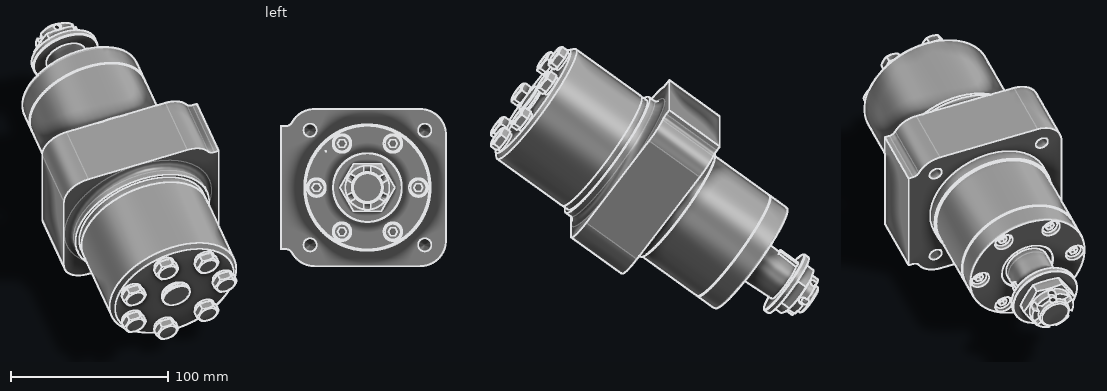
import cadquery as cq
import math


THREAD_DIA = 20.0
TIP_CHAMFER = 1.0
TAPER_SMALL_DIA = 26.5
JOURNAL_DIA = 28.5
JOURNAL_START_X = 44.5
COTTER_DIA = 4.5
COTTER_X = 3.6

CROWN_START_X = 3.8
CROWN_DIA = 28.0
HEX_START_X = 8.8
NUT_WIDTH = 30.3
NUT_CHAMFER_ANGLE = 15
SLOT_COUNT = 6
SLOT_WIDTH = 4.5
SLOT_END_X = 8.4

WASHER_START_X = 16.7
WASHER_THICKNESS = 3.8
WASHER_DIA = 44.0
WASHER_FRONT_CHAMFER = 0.2
WASHER_REAR_CHAMFER = 0.5
WASHER_END_X = WASHER_START_X + WASHER_THICKNESS

KEY_LENGTH = 14.0
KEY_SECTION = 5.0
KEY_TOP_Y = 15.2

FRONT_X = 46.5
FRONT_DIA = 79.0
FRONT_CHAMFER_LENGTH = 1.1
FRONT_CHAMFER_DEPTH = 0.2
GROOVE_X = 60.2
GROOVE_SIZE = 0.5
PILOT_X = 104.8
PILOT_DIA = 80.5
SEAL_RECESS_DIA = 35.0
SEAL_RECESS_DEPTH = 1.1

FLANGE_X = 112.0
FLANGE_END_X = 152.0
FLANGE_WIDTH = 100.0
FLANGE_CORNER_RADIUS = 16.5
PORT_FACE_Y = 55.0
PORT_FACE_WIDTH = 78.3
PORT_FACE_FILLET = 4.5
FLANGE_HOLE_DIA = 8.4
FLANGE_HOLE_SPACING = 72.9
FLANGE_HOLE_DEPTH = 27.2
DRILL_POINT_ANGLE = 118

SHAFT_END_X = FLANGE_X

COLLAR_DIA = 90.7
COLLAR_FILLET = 4.5
COLLAR_END_X = 160.5
REAR_DIA = 86.0
NECK_DIA = 85.8
NECK_END_X = 164.7
REAR_CHAMFER = 2.7
REAR_END_X = 219.0

CAP_SCREW_COUNT = 6
SCREW_CIRCLE_RADIUS = 32.4
COUNTERBORE_DIA = 12.0
COUNTERBORE_DEPTH = 7.0
CAP_HEAD_DIA = 10.0
CAP_HEAD_HEIGHT = 5.0
SOCKET_WIDTH = 5.0
SOCKET_DEPTH = 3.0

REAR_BOLT_COUNT = 7
BOLT_END_X = 226.3
BOLT_FACE_X = 220.8
BOLT_WIDTH = 13.1
BOLT_FACE_DIA = 13.0
BOLT_TOP_DIA = 12.0
BOLT_CHAMFER_ANGLE = 30
PLUG_NECK_DIA = 17.0
PLUG_COLLAR_X = 220.5
PLUG_COLLAR_DIA = 18.5
PLUG_TOP_X = 222.2
PLUG_TOP_DIA = 18.0
PLUG_END_X = 223.0


def cylinder(start_x, end_x, diameter):
    """Cylinder on the X axis."""
    return cq.Workplane("YZ", origin=(start_x, 0, 0)).circle(diameter / 2).extrude(end_x - start_x)


def hexagon(start_x, end_x, width):
    """Hexagonal prism on the X axis with two corners on the Y axis."""
    corner_dia = width / math.cos(math.pi / 6)
    return cq.Workplane("YZ", origin=(start_x, 0, 0)).polygon(6, corner_dia).extrude(end_x - start_x)


def revolved(profile):
    """Solid of revolution about the X axis from an open profile in the XY plane."""
    return profile.close().revolve(360, (0, 0, 0), (1, 0, 0))


def cone_length(radius_step, angle):
    """Axial length of a cone that rises by radius_step at an angle to the end face."""
    return radius_step * math.tan(math.radians(angle))


def on_circle(body, count, radius):
    """Copies of a body evenly spaced about the X axis, the first towards +Y."""
    copies = []
    for i in range(count):
        angle = 2 * math.pi * i / count
        copies.append(body.translate((0, radius * math.cos(angle), radius * math.sin(angle))))
    return copies


def make_key():
    bar = cq.Workplane("XY").box(KEY_LENGTH, KEY_SECTION, KEY_SECTION, centered=(False, False, True))
    return bar.translate((WASHER_END_X, KEY_TOP_Y - KEY_SECTION, 0))


def make_shaft():
    profile = (
        cq.Workplane("XY")
        .moveTo(0, 0)
        .lineTo(0, THREAD_DIA / 2 - TIP_CHAMFER)
        .lineTo(TIP_CHAMFER, THREAD_DIA / 2)
        .lineTo(WASHER_END_X, THREAD_DIA / 2)
        .lineTo(WASHER_END_X, TAPER_SMALL_DIA / 2)
        .lineTo(JOURNAL_START_X, JOURNAL_DIA / 2)
        .lineTo(SHAFT_END_X, JOURNAL_DIA / 2)
        .lineTo(SHAFT_END_X, 0)
    )
    cotter_hole = (
        cq.Workplane("XY").center(COTTER_X, 0).circle(COTTER_DIA / 2).extrude(THREAD_DIA, both=True)
    )
    return revolved(profile).cut(cotter_hole).cut(make_key())


def make_washer():
    disc = cylinder(WASHER_START_X, WASHER_END_X, WASHER_DIA)
    disc = disc.faces("<X").chamfer(WASHER_FRONT_CHAMFER)
    disc = disc.faces(">X").chamfer(WASHER_REAR_CHAMFER)
    return disc.cut(cylinder(WASHER_START_X, WASHER_END_X, THREAD_DIA))


def make_nut():
    corner_radius = NUT_WIDTH / 2 / math.cos(math.pi / 6)
    chamfer_length = cone_length(corner_radius - CROWN_DIA / 2, NUT_CHAMFER_ANGLE)
    chamfer_envelope = revolved(
        cq.Workplane("XY")
        .moveTo(HEX_START_X, 0)
        .lineTo(HEX_START_X, CROWN_DIA / 2)
        .lineTo(HEX_START_X + chamfer_length, corner_radius)
        .lineTo(WASHER_START_X - chamfer_length, corner_radius)
        .lineTo(WASHER_START_X, CROWN_DIA / 2)
        .lineTo(WASHER_START_X, 0)
    )
    nut = hexagon(HEX_START_X, WASHER_START_X, NUT_WIDTH).intersect(chamfer_envelope)
    nut = nut.union(cylinder(CROWN_START_X, HEX_START_X, CROWN_DIA))
    nut = nut.cut(cylinder(CROWN_START_X, WASHER_START_X, THREAD_DIA))

    slot_floor_x = SLOT_END_X - SLOT_WIDTH / 2
    slot = (
        cq.Workplane("XY")
        .moveTo(CROWN_START_X, -SLOT_WIDTH / 2)
        .lineTo(slot_floor_x, -SLOT_WIDTH / 2)
        .threePointArc((SLOT_END_X, 0), (slot_floor_x, SLOT_WIDTH / 2))
        .lineTo(CROWN_START_X, SLOT_WIDTH / 2)
        .close()
        .extrude(CROWN_DIA)
    )
    for i in range(SLOT_COUNT):
        nut = nut.cut(slot.rotate((0, 0, 0), (1, 0, 0), 360 / SLOT_COUNT * i))
    return nut


def make_front_barrel():
    radius = FRONT_DIA / 2
    return revolved(
        cq.Workplane("XY")
        .moveTo(FRONT_X, 0)
        .lineTo(FRONT_X, radius - FRONT_CHAMFER_DEPTH)
        .lineTo(FRONT_X + FRONT_CHAMFER_LENGTH, radius)
        .lineTo(GROOVE_X, radius)
        .lineTo(GROOVE_X, radius - GROOVE_SIZE)
        .lineTo(GROOVE_X + GROOVE_SIZE, radius - GROOVE_SIZE)
        .lineTo(GROOVE_X + GROOVE_SIZE, radius)
        .lineTo(PILOT_X - GROOVE_SIZE, radius)
        .lineTo(PILOT_X - GROOVE_SIZE, radius - GROOVE_SIZE)
        .lineTo(PILOT_X, radius - GROOVE_SIZE)
        .lineTo(PILOT_X, PILOT_DIA / 2)
        .lineTo(FLANGE_X, PILOT_DIA / 2)
        .lineTo(FLANGE_X, 0)
    )


def make_port_pad_fillet(length):
    """Fill between the top of the port pad and the rounded corner of the block, on the +Z side."""
    pad_z = PORT_FACE_WIDTH / 2
    corner = FLANGE_WIDTH / 2 - FLANGE_CORNER_RADIUS
    fillet_z = pad_z + PORT_FACE_FILLET
    centre_distance = FLANGE_CORNER_RADIUS + PORT_FACE_FILLET
    rise = fillet_z - corner
    run = math.sqrt(centre_distance**2 - rise**2)
    fillet_y = corner + run

    share = FLANGE_CORNER_RADIUS / centre_distance
    tangent = (corner + run * share, corner + rise * share)
    start_angle = math.atan2(-rise, -run) % (2 * math.pi)
    middle_angle = (start_angle + 1.5 * math.pi) / 2
    middle = (
        fillet_y + PORT_FACE_FILLET * math.cos(middle_angle),
        fillet_z + PORT_FACE_FILLET * math.sin(middle_angle),
    )
    return (
        cq.Workplane("YZ", origin=(FLANGE_X, 0, 0))
        .moveTo(corner, corner)
        .lineTo(*tangent)
        .threePointArc(middle, (fillet_y, pad_z))
        .lineTo(fillet_y, corner)
        .close()
        .extrude(length)
    )


def make_flange():
    length = FLANGE_END_X - FLANGE_X
    block = (
        cq.Workplane("YZ", origin=(FLANGE_X, 0, 0))
        .rect(FLANGE_WIDTH, FLANGE_WIDTH)
        .extrude(length)
        .edges("|X")
        .fillet(FLANGE_CORNER_RADIUS)
    )
    port_pad = cq.Workplane("XY").box(length, PORT_FACE_Y, PORT_FACE_WIDTH, centered=(False, False, True))
    flange = block.union(port_pad.translate((FLANGE_X, 0, 0)))
    pad_fillet = make_port_pad_fillet(length)
    flange = flange.union(pad_fillet).union(pad_fillet.mirror("XY"))

    radius = FLANGE_HOLE_DIA / 2
    point_length = radius / math.tan(math.radians(DRILL_POINT_ANGLE / 2))
    hole_end_x = FLANGE_X + FLANGE_HOLE_DEPTH
    hole = revolved(
        cq.Workplane("XY")
        .moveTo(FLANGE_X, 0)
        .lineTo(FLANGE_X, radius)
        .lineTo(hole_end_x, radius)
        .lineTo(hole_end_x + point_length, 0)
    )
    offset = FLANGE_HOLE_SPACING / 2
    for y in (-offset, offset):
        for z in (-offset, offset):
            flange = flange.cut(hole.translate((0, y, z)))
    return flange


def make_rear_barrel():
    collar_radius = COLLAR_DIA / 2
    rear_radius = REAR_DIA / 2
    fillet_mid = COLLAR_FILLET * (1 - math.sqrt(0.5))
    fillet_end_x = FLANGE_END_X + COLLAR_FILLET
    return revolved(
        cq.Workplane("XY")
        .moveTo(FLANGE_END_X, 0)
        .lineTo(FLANGE_END_X, collar_radius + COLLAR_FILLET)
        .threePointArc(
            (FLANGE_END_X + fillet_mid, collar_radius + fillet_mid), (fillet_end_x, collar_radius)
        )
        .lineTo(COLLAR_END_X, collar_radius)
        .lineTo(COLLAR_END_X, NECK_DIA / 2)
        .lineTo(NECK_END_X, NECK_DIA / 2)
        .lineTo(NECK_END_X, rear_radius)
        .lineTo(REAR_END_X - REAR_CHAMFER, rear_radius)
        .lineTo(REAR_END_X, rear_radius - REAR_CHAMFER)
        .lineTo(REAR_END_X, 0)
    )


def make_seal_recess():
    return cylinder(FRONT_X, FRONT_X + SEAL_RECESS_DEPTH, SEAL_RECESS_DIA)


def make_counterbore():
    return cylinder(FRONT_X, FRONT_X + COUNTERBORE_DEPTH, COUNTERBORE_DIA)


def make_cap_head():
    bottom_x = FRONT_X + COUNTERBORE_DEPTH
    top_x = bottom_x - CAP_HEAD_HEIGHT
    return cylinder(top_x, bottom_x, CAP_HEAD_DIA).cut(hexagon(top_x, top_x + SOCKET_DEPTH, SOCKET_WIDTH))


def make_rear_bolt():
    corner_radius = BOLT_WIDTH / 2 / math.cos(math.pi / 6)
    chamfer_length = cone_length(corner_radius - BOLT_TOP_DIA / 2, BOLT_CHAMFER_ANGLE)
    chamfer_envelope = revolved(
        cq.Workplane("XY")
        .moveTo(BOLT_FACE_X, 0)
        .lineTo(BOLT_FACE_X, corner_radius)
        .lineTo(BOLT_END_X - chamfer_length, corner_radius)
        .lineTo(BOLT_END_X, BOLT_TOP_DIA / 2)
        .lineTo(BOLT_END_X, 0)
    )
    head = hexagon(BOLT_FACE_X, BOLT_END_X, BOLT_WIDTH).intersect(chamfer_envelope)
    return head.union(cylinder(REAR_END_X, BOLT_FACE_X, BOLT_FACE_DIA))


def make_plug():
    neck = cylinder(REAR_END_X, PLUG_COLLAR_X, PLUG_NECK_DIA)
    collar = cylinder(PLUG_COLLAR_X, PLUG_TOP_X, PLUG_COLLAR_DIA)
    top = cylinder(PLUG_TOP_X, PLUG_END_X, PLUG_TOP_DIA)
    return neck.union(collar).union(top)


def make_housing():
    housing = make_front_barrel().union(make_flange()).union(make_rear_barrel())
    housing = housing.cut(make_seal_recess())
    housing = housing.cut(cylinder(FRONT_X, SHAFT_END_X, JOURNAL_DIA))
    for counterbore in on_circle(make_counterbore(), CAP_SCREW_COUNT, SCREW_CIRCLE_RADIUS):
        housing = housing.cut(counterbore)
    for cap_head in on_circle(make_cap_head(), CAP_SCREW_COUNT, SCREW_CIRCLE_RADIUS):
        housing = housing.union(cap_head)
    for bolt in on_circle(make_rear_bolt(), REAR_BOLT_COUNT, SCREW_CIRCLE_RADIUS):
        housing = housing.union(bolt)
    return housing.union(make_plug())


housing = make_housing()
shaft = make_shaft()
key = make_key()
washer = make_washer()
nut = make_nut()

result = cq.Compound.makeCompound([housing.val(), shaft.val(), key.val(), washer.val(), nut.val()])